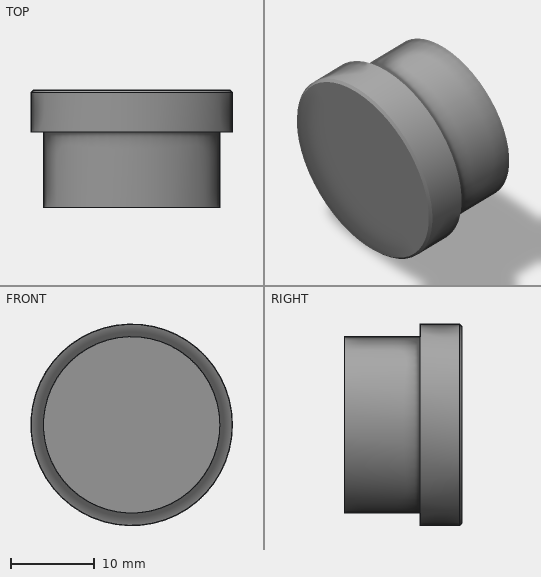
import cadquery as cq

flange_diameter = 24.0
flange_thickness = 5.0
shank_diameter = 21.0
total_length = 14.0
rim_chamfer = 0.3

shank_length = total_length - flange_thickness


def disc(diameter, start_y, length):
    """Solid cylinder along +Y, starting at start_y."""
    base = cq.Workplane("XZ", origin=(0, start_y, 0))
    return base.circle(diameter / 2).extrude(-length)


shank = disc(shank_diameter, -shank_length, shank_length)
flange = disc(flange_diameter, 0, flange_thickness)

flange = flange.faces(">Y").edges().chamfer(rim_chamfer)

result = flange.union(shank)